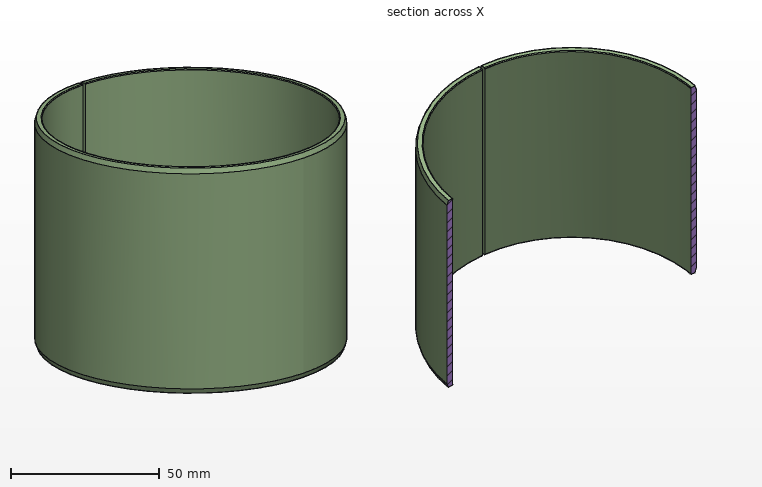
import cadquery as cq

outer_diameter = 105.0
bore_diameter = 100.0
length = 80.0

chamfer_height = 1.8
chamfer_depth = 0.6

bore_chamfer = 0.3

slit_width = 1.0

outer_radius = outer_diameter / 2
bore_radius = bore_diameter / 2
half_length = length / 2

wall_section = [
    (bore_radius, -half_length + bore_chamfer),
    (bore_radius + bore_chamfer, -half_length),
    (outer_radius - chamfer_depth, -half_length),
    (outer_radius, -half_length + chamfer_height),
    (outer_radius, half_length - chamfer_height),
    (outer_radius - chamfer_depth, half_length),
    (bore_radius + bore_chamfer, half_length),
    (bore_radius, half_length - bore_chamfer),
]

sleeve = (
    cq.Workplane("XZ")
    .polyline(wall_section)
    .close()
    .revolve(360, (0, 0, 0), (0, 1, 0))
)

slit = (
    cq.Workplane("XY")
    .box(outer_radius, slit_width, length, centered=(False, False, True))
    .translate((-outer_radius, 0, 0))
)

result = sleeve.cut(slit)